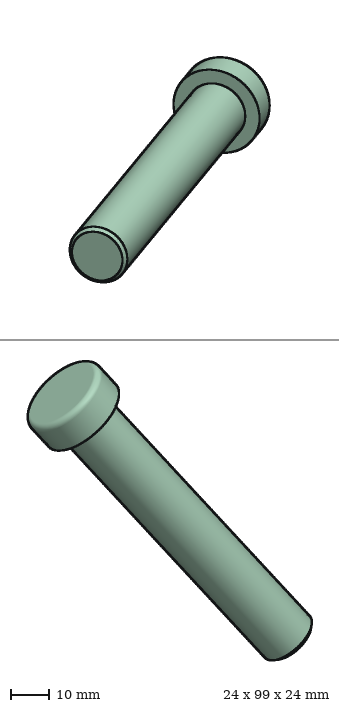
import cadquery as cq

total_length = 99.0
head_diameter = 24.0
head_height = 9.0
head_fillet = 1.6
shank_diameter = 16.0
tip_chamfer = 1.0
shank_length = total_length - head_height


def cylinder_along_y(diameter, start, length):
    """Solid cylinder running from start towards +Y."""
    plane = cq.Workplane("XZ", origin=(0, start, 0))
    return plane.circle(diameter / 2).extrude(-length)


shank = cylinder_along_y(shank_diameter, 0, shank_length)
shank = shank.faces("<Y").chamfer(tip_chamfer)

head = cylinder_along_y(head_diameter, shank_length, head_height)
head = head.faces(">Y").edges().fillet(head_fillet)

result = shank.union(head)